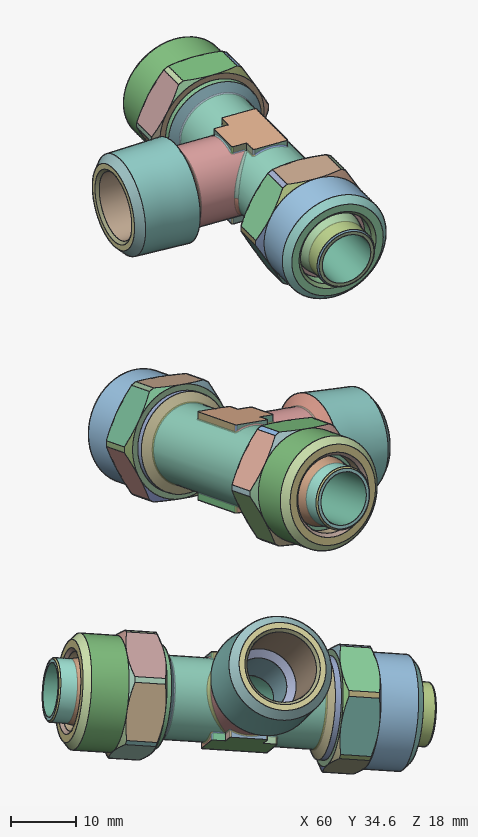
import cadquery as cq
import math

half_length = 30.0
pipe_radius = 6.5
bore_radius = 4.2
stub_radius = 5.0
stub_end_chamfer = 0.25

sleeve_start = 27.1
sleeve_radius = 5.5

nut_outer_face = 27.05
nut_radius = 9.0
nut_end_chamfer = 1.1
nut_mouth_radius = 6.65
nut_bore_radius = 6.1
nut_recess_depth = 2.7
hex_outer_face = 20.05
hex_inner_face = 14.0
hex_sides = 6
hex_across_corners = 2 * nut_radius / math.cos(math.pi / hex_sides)
hex_corner_radius = 10.15
hex_end_bevel = 0.6

shoulder_angle = 30.0
shoulder_slope = math.tan(math.radians(shoulder_angle))
shoulder_fillet = 0.25

collar_radius = 8.05
collar_bevel_start = 13.0

branch_length = 24.5
branch_cone_end = 13.9
branch_male_radius = 8.45
thread_taper = 1 / 16
branch_end_chamfer = 1.25
branch_bore_radius = 4.25
socket_radius = 5.5
socket_depth = 12.0
socket_mouth_chamfer = 0.5
drill_point_angle = 118.0

plate_half_height = 6.95
plate_half_width = 5.2
plate_arm_half_width = 3.0
plate_front = 5.5
plate_corner_fillet = 0.25
plate_base_fillet = 0.2
crotch_fillet = 0.5


def turned_about_x(profile):
    """Solid of revolution about X from (x, radius) points."""
    return cq.Workplane("XY").polyline(profile).close().revolve(360, (0, 0, 0), (1, 0, 0))


def turned_about_y(profile):
    """Solid of revolution about Y from (distance towards -Y, radius) points."""
    points = [(radius, -distance) for distance, radius in profile]
    return cq.Workplane("XY").polyline(points).close().revolve(360, (0, 0, 0), (0, 1, 0))


def around(point):
    """Selector for the edges centred within a small box around a point."""
    margin = 0.1
    low = [coordinate - margin for coordinate in point]
    high = [coordinate + margin for coordinate in point]
    return cq.selectors.BoxSelector(low, high)


def make_plates():
    """T-shaped block through the junction, with its outward corners rounded."""
    run_arm = cq.Workplane("XY").rect(2 * plate_half_width, 2 * plate_arm_half_width)
    branch_arm = cq.Workplane("XY").center(0, -plate_front / 2).rect(2 * plate_arm_half_width, plate_front)
    run_block = run_arm.extrude(plate_half_height, both=True)
    branch_block = branch_arm.extrude(plate_half_height, both=True)
    rounded_run = run_block.edges("|Z").fillet(plate_corner_fillet)
    rounded_branch = branch_block.edges("|Z and <Y").fillet(plate_corner_fillet)
    return rounded_run.union(rounded_branch)


def make_hexagon():
    """Hexagon with flats facing +Z and -Z, its corners turned down and bevelled."""
    length = hex_outer_face - hex_inner_face
    prism = (
        cq.Workplane("YZ", origin=(hex_inner_face, 0, 0))
        .polygon(hex_sides, hex_across_corners)
        .extrude(length)
    )
    envelope = turned_about_x([
        (hex_inner_face, 0),
        (hex_inner_face, nut_radius),
        (hex_inner_face + hex_end_bevel, hex_corner_radius),
        (hex_outer_face - hex_end_bevel, hex_corner_radius),
        (hex_outer_face, nut_radius),
        (hex_outer_face, 0),
    ])
    return prism.intersect(envelope)


def make_end():
    """Half of the run on the +X side: pipe, collar, nut and stub, without the bore."""
    collar_root = collar_bevel_start - (collar_radius - pipe_radius) * shoulder_slope
    nut_floor = nut_outer_face - nut_recess_depth
    mouth_bevel = nut_mouth_radius - nut_bore_radius
    turned = turned_about_x([
        (0, 0),
        (0, pipe_radius),
        (collar_root, pipe_radius),
        (collar_bevel_start, collar_radius),
        (hex_outer_face, collar_radius),
        (hex_outer_face, nut_radius),
        (nut_outer_face - nut_end_chamfer, nut_radius),
        (nut_outer_face, nut_radius - nut_end_chamfer),
        (nut_outer_face, nut_mouth_radius),
        (nut_outer_face - mouth_bevel, nut_bore_radius),
        (nut_floor, nut_bore_radius),
        (nut_floor, sleeve_radius),
        (sleeve_start, stub_radius),
        (half_length - stub_end_chamfer, stub_radius),
        (half_length, stub_radius - stub_end_chamfer),
        (half_length, 0),
    ])
    turned = turned.edges(around((collar_root, 0, 0))).fillet(shoulder_fillet)
    return turned.union(make_hexagon())


def make_branch():
    """Pipe and tapered male end along -Y, without the bore."""
    cone_root = branch_cone_end - (branch_male_radius - pipe_radius) * shoulder_slope
    taper_end = branch_length - branch_end_chamfer
    taper_end_radius = branch_male_radius - (taper_end - branch_cone_end) * thread_taper / 2
    branch = turned_about_y([
        (0, 0),
        (0, pipe_radius),
        (cone_root, pipe_radius),
        (branch_cone_end, branch_male_radius),
        (taper_end, taper_end_radius),
        (branch_length, taper_end_radius - branch_end_chamfer),
        (branch_length, 0),
    ])
    return branch.edges(around((0, -cone_root, 0))).fillet(shoulder_fillet)


def make_branch_bore():
    """Bore of the branch: countersunk socket, drill point and narrower passage."""
    socket_floor = branch_length - socket_depth
    drill_cone = (socket_radius - branch_bore_radius) / math.tan(math.radians(drill_point_angle / 2))
    return turned_about_y([
        (0, 0),
        (0, branch_bore_radius),
        (socket_floor - drill_cone, branch_bore_radius),
        (socket_floor, socket_radius),
        (branch_length - socket_mouth_chamfer, socket_radius),
        (branch_length, socket_radius + socket_mouth_chamfer),
        (branch_length, 0),
    ])


def round_crotches(body):
    """Round the two creases where the branch pipe meets the run pipe."""
    creases = cq.selectors.BoxSelector(
        (-pipe_radius, -pipe_radius, -pipe_radius), (pipe_radius, -plate_arm_half_width, pipe_radius)
    )
    return body.edges(creases).edges("%ELLIPSE").fillet(crotch_fillet)


def round_plate_bases(body):
    """Round the foot of the plates where their walls run down into the pipes."""
    foot_height = math.sqrt(pipe_radius**2 - plate_arm_half_width**2)
    lowest_foot = foot_height - plate_base_fillet
    reach = plate_half_width + crotch_fillet
    front = plate_front + crotch_fillet
    feet_above = cq.selectors.BoxSelector((-reach, -front, lowest_foot), (reach, reach, pipe_radius))
    feet_below = cq.selectors.BoxSelector((-reach, -front, -pipe_radius), (reach, reach, -lowest_foot))
    walls = cq.selectors.ParallelDirSelector(cq.Vector(0, 0, 1))
    return body.edges(feet_above + feet_below - walls).fillet(plate_base_fillet)


def make_body():
    """Solid tee with both ends, the branch and the plates, before boring."""
    end = make_end()
    pipes = end.union(end.mirror("YZ")).union(make_branch())
    return round_plate_bases(round_crotches(pipes.union(make_plates())))


body = make_body()
run_bore = cq.Workplane("YZ").circle(bore_radius).extrude(half_length, both=True)

result = body.cut(run_bore).cut(make_branch_bore())